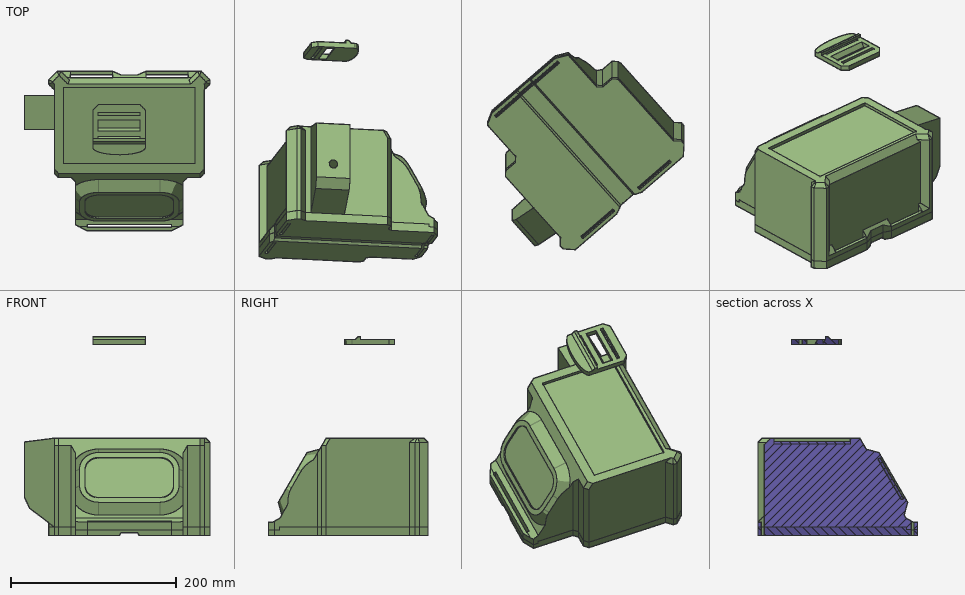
import cadquery as cq
import math


HOUSING_HEIGHT = 117.5
HOUSING_HALF_WIDTH = 90.5
CORNER_CHAMFER = 5.0
FRONT_WALL_Y = 64.3
REAR_WALL_Y = 185.0
REAR_EDGE_Y = 192.7
REAR_TOP_CHAMFER = 8.0

NOSE_HALF_WIDTH = 65.0
LIP_HALF_WIDTH = 50.6
LIP_CORNER_Y = 7.5

SHELF_HEIGHT = 16.3
SHELF_DEPTH = 5.3
FACE_FOOT_Y = 14.0
FACE_FOOT_Z = 21.0
FACE_ANGLE = 60.0

WING_HALF_WIDTH = 97.5
WING_REAR_OUTER_X = 86.9
WING_REAR_INNER_X = 82.5
WING_SIDE_LENGTH = 5.0
WING_ROOT_DEPTH = 19.2
WING_TOP_CHAMFER = 5.0

FRONT_SLOT_HALF_WIDTH = LIP_HALF_WIDTH
FRONT_SLOT_Y = 4.5
FRONT_SLOT_WIDTH = 3.0
REAR_SLOT_INNER_X = 20.2
REAR_SLOT_OUTER_X = 71.0
REAR_BAR_DEPTH = 4.3
REAR_DIP_HALF_WIDTH = 10.0

BASE_THICKNESS = 10.3
BASE_LIP_THICKNESS = 7.0
BASE_STEP_Y = 13.7
CHANNEL_HALF_WIDTH = 12.0
CHANNEL_TOP_HALF_WIDTH = 9.8
CHANNEL_DEPTH = 3.4

BOSS_WIDTH = 120.0
BOSS_LENGTH = 69.4
BOSS_RADIUS = 23.0
BOSS_HEIGHT = 11.3
BOSS_CENTRE_Z = 64.5
LENS_MARGIN = 6.7
LENS_RECESS = 2.0
LENS_THICKNESS = 2.9

SCREEN_WIDTH = 158.5
SCREEN_LENGTH = 91.7
SCREEN_FRONT_Y = 81.4
SCREEN_RECESS = 3.8
SCREEN_THICKNESS = 2.9

BOX_LENGTH = 36.0
BOX_FRONT_Y = 122.5
BOX_WIDTH = 41.3
BOX_OUTER_TOP_Z = 113.0
BOX_OUTER_BOTTOM_Z = 45.8
BOX_KNEE_INSET = 6.2
BOX_KNEE_Z = 32.9
BOX_HOLE_DIAMETER = 10.0
BOX_HOLE_Z = 62.9

BUCKLE_X = -12.2
BUCKLE_WIDTH = 63.5
BUCKLE_REAR_Y = 152.5
BUCKLE_FRONT_Y = 92.0
BUCKLE_BOW = 8.9
BUCKLE_CHAMFER = 6.7
BUCKLE_TOP_Z = 236.6
BUCKLE_THICKNESS = 6.2
BUCKLE_SLOT_WIDTH = 50.6
NARROW_SLOT_Y = (139.5, 143.0)
WIDE_SLOT_Y = (120.7, 133.7)
GROOVE_Y = (111.4, 114.0)
RIDGE_HEIGHT = 3.4
SLOT_WALL_ANGLE = 60.0

FACE_SLOPE = math.tan(math.radians(FACE_ANGLE))
FACE_TOP_Y = FACE_FOOT_Y + (HOUSING_HEIGHT - FACE_FOOT_Z) / FACE_SLOPE
BOSS_CENTRE_Y = FACE_FOOT_Y + (BOSS_CENTRE_Z - FACE_FOOT_Z) / FACE_SLOPE
SLOT_WALL_SLOPE = math.tan(math.radians(SLOT_WALL_ANGLE))
LENS_WIDTH = BOSS_WIDTH - 2 * LENS_MARGIN
LENS_LENGTH = BOSS_LENGTH - 2 * LENS_MARGIN
LENS_RADIUS = BOSS_RADIUS - LENS_MARGIN


def block(x_range, y_range, z_range):
    """Box given by its limits along each axis."""
    return cq.Workplane("XY").box(
        x_range[1] - x_range[0],
        y_range[1] - y_range[0],
        z_range[1] - z_range[0],
        centered=False,
    ).translate((x_range[0], y_range[0], z_range[0]))


def side_prism(yz_points, half_width, x_centre=0.0):
    """Prism along X, centred on x_centre, with a profile given as (Y, Z) points."""
    prism = cq.Workplane("YZ").polyline(yz_points).close().extrude(half_width, both=True)
    return prism.translate((x_centre, 0, 0))


def plan_prism(xy_points, height):
    """Upright prism from Z = 0 with an outline given as (X, Y) points."""
    return cq.Workplane("XY").polyline(xy_points).close().extrude(height)


def both_sides(solid):
    """The solid together with its mirror image across X = 0."""
    return solid.union(solid.mirror("YZ"))


def main_block():
    """Housing block with its narrower nose, below the sloping front face."""
    right_half = [
        (LIP_HALF_WIDTH, 0),
        (NOSE_HALF_WIDTH, LIP_CORNER_Y),
        (NOSE_HALF_WIDTH, FRONT_WALL_Y - CORNER_CHAMFER),
        (NOSE_HALF_WIDTH + CORNER_CHAMFER, FRONT_WALL_Y),
        (HOUSING_HALF_WIDTH - CORNER_CHAMFER, FRONT_WALL_Y),
        (HOUSING_HALF_WIDTH, FRONT_WALL_Y + CORNER_CHAMFER),
        (HOUSING_HALF_WIDTH, REAR_WALL_Y),
    ]
    left_half = [(-x, y) for x, y in reversed(right_half)]
    side_profile = [
        (0, 0),
        (0, SHELF_HEIGHT),
        (SHELF_DEPTH, SHELF_HEIGHT),
        (FACE_FOOT_Y, FACE_FOOT_Z),
        (FACE_TOP_Y, HOUSING_HEIGHT),
        (REAR_WALL_Y - REAR_TOP_CHAMFER, HOUSING_HEIGHT),
        (REAR_WALL_Y, HOUSING_HEIGHT - REAR_TOP_CHAMFER),
        (REAR_WALL_Y, 0),
    ]
    plan = plan_prism(right_half + left_half, HOUSING_HEIGHT)
    block_body = plan.intersect(side_prism(side_profile, HOUSING_HALF_WIDTH))
    return block_body.cut(both_sides(face_corner_cut()))


def face_corner_cut():
    """Three-sided prism along the sloping face that chamfers its right upper corner."""
    corner = [
        cq.Vector(HOUSING_HALF_WIDTH, FACE_TOP_Y + CORNER_CHAMFER, HOUSING_HEIGHT),
        cq.Vector(HOUSING_HALF_WIDTH - CORNER_CHAMFER, FACE_TOP_Y, HOUSING_HEIGHT),
        cq.Vector(HOUSING_HALF_WIDTH, FACE_TOP_Y, HOUSING_HEIGHT),
    ]
    run = FACE_TOP_Y - FRONT_WALL_Y + CORNER_CHAMFER
    down_the_face = cq.Vector(0, -run, -run * FACE_SLOPE)
    wire = cq.Wire.makePolygon(corner, close=True)
    return cq.Workplane(cq.Solid.extrudeLinear(wire, [], down_the_face))


def wing():
    """Right rear wing, a 45 degree corner post with its top edges chamfered."""
    side_rear_y = REAR_EDGE_Y - (WING_HALF_WIDTH - WING_REAR_OUTER_X)
    side_front_y = side_rear_y - WING_SIDE_LENGTH
    outline = [
        (WING_REAR_INNER_X, REAR_EDGE_Y),
        (WING_REAR_OUTER_X, REAR_EDGE_Y),
        (WING_HALF_WIDTH, side_rear_y),
        (WING_HALF_WIDTH, side_front_y),
        (WING_HALF_WIDTH - WING_ROOT_DEPTH, side_front_y - WING_ROOT_DEPTH),
        (WING_REAR_INNER_X - WING_ROOT_DEPTH, REAR_EDGE_Y - WING_ROOT_DEPTH),
    ]
    return plan_prism(outline, HOUSING_HEIGHT).faces(">Z").chamfer(WING_TOP_CHAMFER)


def rear_flange():
    """Low flange between the wings, rising at 45 degrees to the rear wall, with two strap bars."""
    flange_depth = REAR_EDGE_Y - REAR_WALL_Y
    profile = [
        (REAR_WALL_Y, 0),
        (REAR_EDGE_Y, 0),
        (REAR_EDGE_Y, SHELF_HEIGHT),
        (REAR_WALL_Y, SHELF_HEIGHT + flange_depth),
    ]
    flange = side_prism(profile, WING_REAR_INNER_X)
    bar_y = REAR_EDGE_Y - REAR_BAR_DEPTH
    slot_x = (REAR_SLOT_INNER_X, REAR_SLOT_OUTER_X)
    slot = block(slot_x, (REAR_WALL_Y, bar_y), (0, HOUSING_HEIGHT))
    above_bar = block(slot_x, (REAR_WALL_Y, REAR_EDGE_Y), (SHELF_HEIGHT, HOUSING_HEIGHT))
    dip = plan_prism(
        [
            (-REAR_SLOT_INNER_X, REAR_EDGE_Y),
            (-REAR_DIP_HALF_WIDTH, bar_y),
            (REAR_DIP_HALF_WIDTH, bar_y),
            (REAR_SLOT_INNER_X, REAR_EDGE_Y),
        ],
        HOUSING_HEIGHT,
    )
    return flange.cut(both_sides(slot.union(above_bar))).cut(dip)


def front_slot():
    """Strap slot straight down through the front lip."""
    return block(
        (-FRONT_SLOT_HALF_WIDTH, FRONT_SLOT_HALF_WIDTH),
        (FRONT_SLOT_Y, FRONT_SLOT_Y + FRONT_SLOT_WIDTH),
        (0, HOUSING_HEIGHT),
    )


def envelope():
    """Housing and base plate together, before they are parted."""
    body = main_block().union(rear_flange()).union(both_sides(wing()))
    return body.cut(front_slot())


def base_zone():
    """Space taken by the base plate, thinner under the front lip."""
    profile = [
        (0, 0),
        (0, BASE_LIP_THICKNESS),
        (BASE_STEP_Y, BASE_LIP_THICKNESS),
        (BASE_STEP_Y, BASE_THICKNESS),
        (REAR_EDGE_Y, BASE_THICKNESS),
        (REAR_EDGE_Y, 0),
    ]
    return side_prism(profile, WING_HALF_WIDTH)


def bottom_channel():
    """Shallow channel with sloping sides along the whole underside."""
    profile = [
        (-CHANNEL_HALF_WIDTH, 0),
        (-CHANNEL_TOP_HALF_WIDTH, CHANNEL_DEPTH),
        (CHANNEL_TOP_HALF_WIDTH, CHANNEL_DEPTH),
        (CHANNEL_HALF_WIDTH, 0),
    ]
    return cq.Workplane("XZ").polyline(profile).close().extrude(-REAR_EDGE_Y)


def face_plane(offset):
    """Work plane on the sloping face, moved outward by offset, centred on the boss."""
    normal = cq.Vector(0, -math.sin(math.radians(FACE_ANGLE)), math.cos(math.radians(FACE_ANGLE)))
    origin = cq.Vector(0, BOSS_CENTRE_Y, BOSS_CENTRE_Z) + normal * offset
    return cq.Workplane(cq.Plane(origin=origin, xDir=(1, 0, 0), normal=normal))


def rounded_plate(offset, width, length, radius, height, taper=0):
    """Rounded rectangle extruded outward from the plane at the given offset from the face."""
    outline = cq.Sketch().rect(width, length).vertices().fillet(radius)
    return face_plane(offset).placeSketch(outline).extrude(height, taper=taper)


def lens_boss():
    """Boss with 45 degree flanks, trimmed flush with the sides of the nose."""
    boss = rounded_plate(
        0,
        BOSS_WIDTH + 2 * BOSS_HEIGHT,
        BOSS_LENGTH + 2 * BOSS_HEIGHT,
        BOSS_RADIUS + BOSS_HEIGHT,
        BOSS_HEIGHT,
        taper=45,
    )
    nose_space = block(
        (-NOSE_HALF_WIDTH, NOSE_HALF_WIDTH), (0, REAR_WALL_Y), (0, HOUSING_HEIGHT)
    )
    return boss.intersect(nose_space)


def lens_plate(height):
    """Plate in the outline of the lens, standing on the floor of the lens pocket."""
    floor_offset = BOSS_HEIGHT - LENS_RECESS - LENS_THICKNESS
    return rounded_plate(floor_offset, LENS_WIDTH, LENS_LENGTH, LENS_RADIUS, height)


def screen_plate(height):
    """Plate in the outline of the screen, standing on the floor of the screen pocket."""
    floor_z = HOUSING_HEIGHT - SCREEN_RECESS - SCREEN_THICKNESS
    return block(
        (-SCREEN_WIDTH / 2, SCREEN_WIDTH / 2),
        (SCREEN_FRONT_Y, SCREEN_FRONT_Y + SCREEN_LENGTH),
        (floor_z, floor_z + height),
    )


def make_base_plate():
    return envelope().intersect(base_zone()).cut(bottom_channel())


def make_housing():
    body = envelope().cut(base_zone()).union(lens_boss())
    body = body.cut(lens_plate(LENS_THICKNESS + LENS_RECESS))
    return body.cut(screen_plate(SCREEN_THICKNESS + SCREEN_RECESS))


def make_lens():
    return lens_plate(LENS_THICKNESS)


def make_screen():
    return screen_plate(SCREEN_THICKNESS)


def make_side_box():
    """Box on the left housing wall, with a hole through it along X."""
    outer_x = -HOUSING_HALF_WIDTH - BOX_LENGTH
    profile = [
        (-HOUSING_HALF_WIDTH, BASE_THICKNESS),
        (-HOUSING_HALF_WIDTH, HOUSING_HEIGHT),
        (outer_x, BOX_OUTER_TOP_Z),
        (outer_x, BOX_OUTER_BOTTOM_Z),
        (outer_x + BOX_KNEE_INSET, BOX_KNEE_Z),
    ]
    box = cq.Workplane("XZ").polyline(profile).close().extrude(-BOX_WIDTH)
    box = box.translate((0, BOX_FRONT_Y, 0))
    hole = (
        cq.Workplane("YZ", origin=(outer_x, BOX_FRONT_Y + BOX_WIDTH / 2, BOX_HOLE_Z))
        .circle(BOX_HOLE_DIAMETER / 2)
        .extrude(BOX_LENGTH)
    )
    return box.cut(hole)


def buckle_plate():
    """Flat plate with two chamfered rear corners and a half-elliptic front edge."""
    half_width = BUCKLE_WIDTH / 2
    bow_y = BUCKLE_FRONT_Y + BUCKLE_BOW
    bottom_z = BUCKLE_TOP_Z - BUCKLE_THICKNESS
    bow = (
        cq.Workplane("XY", origin=(BUCKLE_X, bow_y, bottom_z))
        .ellipse(half_width, BUCKLE_BOW)
        .extrude(BUCKLE_THICKNESS)
    )
    plate = block(
        (BUCKLE_X - half_width, BUCKLE_X + half_width),
        (bow_y, BUCKLE_REAR_Y),
        (bottom_z, BUCKLE_TOP_Z),
    )
    return plate.edges("|Z and >Y").chamfer(BUCKLE_CHAMFER).union(bow)


def buckle_ridge():
    """Ridge across the plate, upright at the rear and sloping at 45 degrees at the front."""
    rear_y = GROOVE_Y[0]
    top_z = BUCKLE_TOP_Z + RIDGE_HEIGHT
    profile = [
        (rear_y, BUCKLE_TOP_Z),
        (rear_y, top_z),
        (rear_y - RIDGE_HEIGHT, top_z),
        (rear_y - 2 * RIDGE_HEIGHT, BUCKLE_TOP_Z),
    ]
    return side_prism(profile, BUCKLE_WIDTH / 2, BUCKLE_X)


def buckle_openings():
    """Narrow slot, wide slot with a leaning front wall, and a blind V groove behind the ridge."""
    bottom_z = BUCKLE_TOP_Z - BUCKLE_THICKNESS
    lean = BUCKLE_THICKNESS / SLOT_WALL_SLOPE
    groove_depth = (GROOVE_Y[1] - GROOVE_Y[0]) * SLOT_WALL_SLOPE
    narrow_slot = [
        (NARROW_SLOT_Y[0], bottom_z),
        (NARROW_SLOT_Y[0], BUCKLE_TOP_Z),
        (NARROW_SLOT_Y[1], BUCKLE_TOP_Z),
        (NARROW_SLOT_Y[1], bottom_z),
    ]
    wide_slot = [
        (WIDE_SLOT_Y[0] + lean, bottom_z),
        (WIDE_SLOT_Y[0], BUCKLE_TOP_Z),
        (WIDE_SLOT_Y[1], BUCKLE_TOP_Z),
        (WIDE_SLOT_Y[1], bottom_z),
    ]
    groove = [
        (GROOVE_Y[0], BUCKLE_TOP_Z),
        (GROOVE_Y[1], BUCKLE_TOP_Z),
        (GROOVE_Y[1], BUCKLE_TOP_Z - groove_depth),
    ]
    return [side_prism(p, BUCKLE_SLOT_WIDTH / 2, BUCKLE_X) for p in (narrow_slot, wide_slot, groove)]


def make_buckle():
    buckle = buckle_plate().union(buckle_ridge())
    for opening in buckle_openings():
        buckle = buckle.cut(opening)
    return buckle


housing = make_housing()
base_plate = make_base_plate()
side_box = make_side_box()
screen = make_screen()
lens = make_lens()
buckle = make_buckle()

bodies = [housing, base_plate, side_box, screen, lens, buckle]
result = cq.Compound.makeCompound([body.solids().val() for body in bodies])